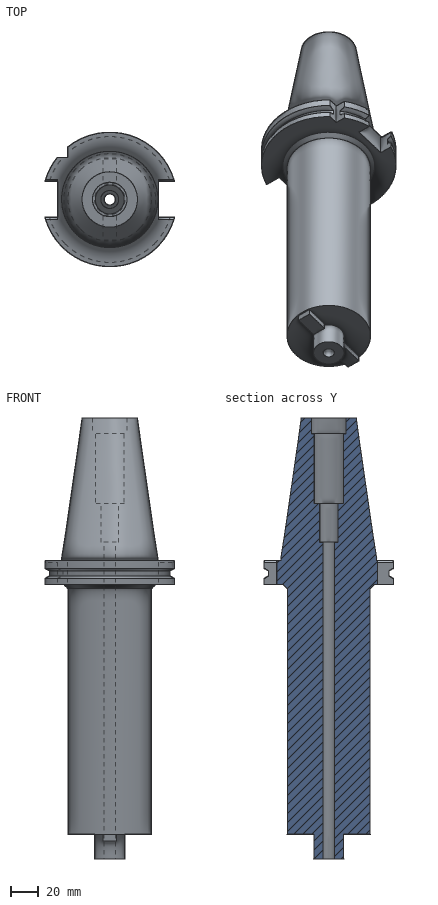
import cadquery as cq
import math


gauge_diameter = 69.85
taper_length = 101.75
taper_ratio = 7 / 24
taper_tip_diameter = gauge_diameter - taper_ratio * taper_length

flange_diameter = 97.5
flange_top_z = -1.5
flange_bottom_z = -19.1
groove_center_z = -11
groove_root_diameter = 91.25
groove_floor_width = 3.75
groove_flank_angle = 60

slot_width = 25.7
slot_chamfer = 1.6
slot_floor_right_x = 35.5
slot_floor_left_x = -37.7
slot_overrun = 1
notch_offset = 30.5

body_diameter = 60.5
body_bottom_z = -200
neck_chamfer = 3

spigot_diameter = 22
spigot_length = 18
key_width = 10
key_height = 5
key_span = 58.5
key_spigot_gap = 0.5

entry_bore_diameter = 25
entry_bore_depth = 11.5
thread_bore_diameter = 21
thread_bore_depth = 62
relief_bore_diameter = 13
relief_bore_depth = 90
through_bore_diameter = 8

flange_radius = flange_diameter / 2
body_radius = body_diameter / 2
flange_height = flange_top_z - flange_bottom_z


def make_turned_body():
    """Revolve the taper, grooved flange, neck, body and spigot as one profile."""
    gauge_radius = gauge_diameter / 2
    root_radius = groove_root_diameter / 2
    spigot_radius = spigot_diameter / 2
    half_floor = groove_floor_width / 2
    half_mouth = half_floor + (flange_radius - root_radius) / math.tan(math.radians(groove_flank_angle))
    spigot_bottom_z = body_bottom_z - spigot_length
    profile = [
        (0, taper_length),
        (taper_tip_diameter / 2, taper_length),
        (gauge_radius, 0),
        (gauge_radius, flange_top_z),
        (flange_radius, flange_top_z),
        (flange_radius, groove_center_z + half_mouth),
        (root_radius, groove_center_z + half_floor),
        (root_radius, groove_center_z - half_floor),
        (flange_radius, groove_center_z - half_mouth),
        (flange_radius, flange_bottom_z),
        (body_radius + neck_chamfer, flange_bottom_z),
        (body_radius, flange_bottom_z - neck_chamfer),
        (body_radius, body_bottom_z),
        (spigot_radius, body_bottom_z),
        (spigot_radius, spigot_bottom_z),
        (0, spigot_bottom_z),
    ]
    return cq.Workplane("YZ").polyline(profile).close().revolve(360, (0, 0, 0), (0, 1, 0))


def make_slot_cutter(floor_x):
    """Driving slot, open outward, with chamfers along its two upper edges."""
    half_width = slot_width / 2
    outer_x = math.copysign(flange_radius + slot_overrun, floor_x)
    section = [
        (-half_width, flange_bottom_z),
        (half_width, flange_bottom_z),
        (half_width, flange_top_z - slot_chamfer),
        (half_width + slot_chamfer, flange_top_z),
        (-half_width - slot_chamfer, flange_top_z),
        (-half_width, flange_top_z - slot_chamfer),
    ]
    return cq.Workplane("YZ", origin=(floor_x, 0, 0)).polyline(section).close().extrude(outer_x - floor_x)


def make_notch_cutter():
    """Square orientation notch in the -X +Y quadrant of the flange."""
    return (
        cq.Workplane("XY")
        .box(flange_radius, flange_radius, flange_height, centered=False)
        .translate((-notch_offset - flange_radius, notch_offset, flange_bottom_z))
    )


def make_driving_keys():
    """Pair of driving keys under the body, on the +Y and -Y sides of the spigot."""
    inner_y = spigot_diameter / 2 + key_spigot_gap
    key_length = key_span / 2 - inner_y
    key_center_y = inner_y + key_length / 2
    return (
        cq.Workplane("XY", origin=(0, 0, body_bottom_z))
        .pushPoints([(0, key_center_y), (0, -key_center_y)])
        .rect(key_width, key_length)
        .extrude(-key_height)
    )


def make_bore(diameter, depth):
    """Cylinder going down from the taper tip."""
    return cq.Workplane("XY", origin=(0, 0, taper_length)).circle(diameter / 2).extrude(-depth)


overall_length = taper_length - body_bottom_z + spigot_length
bores = [
    (entry_bore_diameter, entry_bore_depth),
    (thread_bore_diameter, thread_bore_depth),
    (relief_bore_diameter, relief_bore_depth),
    (through_bore_diameter, overall_length),
]

result = make_turned_body()
for floor_x in (slot_floor_left_x, slot_floor_right_x):
    result = result.cut(make_slot_cutter(floor_x))
result = result.cut(make_notch_cutter())
result = result.union(make_driving_keys())
for diameter, depth in bores:
    result = result.cut(make_bore(diameter, depth))